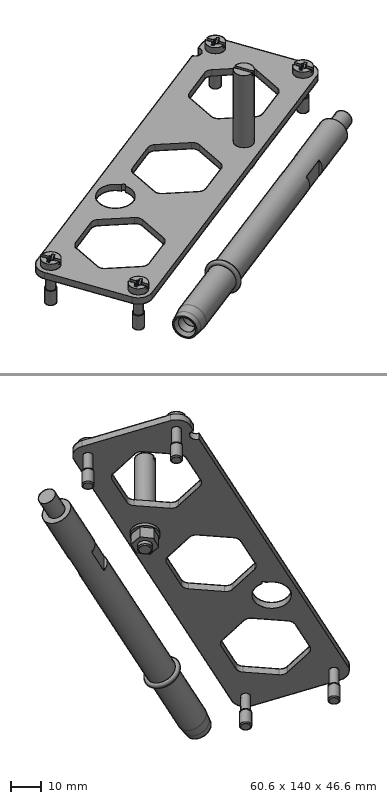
import cadquery as cq
import math

OVERALL_WIDTH = 60.6
OVERALL_HEIGHT = 46.6

HEX_HALF_ANGLE = 30.0

PLATE_LENGTH = 140.0
PLATE_WIDTH = 42.0
PLATE_THICKNESS = 2.7
CORNER_RADIUS = 5.0

HEX_ACROSS_FLATS = 26.7
HEX_PITCH = 45.0
HEX_CORNER_RADIUS = 3.0

ROUND_HOLE_DIAMETER = 13.0
ROUND_HOLE_X = -12.0
ROUND_HOLE_Y = -HEX_PITCH / 2
NICK_RADIUS = 0.7

EDGE_NOTCH_RADIUS = 2.2
EDGE_NOTCH_Y = 60.0

SCREW_X = PLATE_WIDTH / 2 - CORNER_RADIUS
SCREW_Y = PLATE_LENGTH / 2 - CORNER_RADIUS
HEAD_DIAMETER = 6.9
HEAD_HEIGHT = 2.5
NECK_DIAMETER = 3.4
THREAD_DIAMETER = 4.0
THREAD_TOP_Z = -9.8
SCREW_BOTTOM_Z = -16.1
TIP_CHAMFER = 0.4
SLOT_WIDTH = 1.1
SLOT_DEPTH = 1.3
CROSS_SPAN = 4.5
CROSS_FLOOR_SPAN = 1.4
CROSS_ARM_WIDTH = 1.0
CROSS_CORE = 2.0
CROSS_DEPTH = 2.0
CROSS_TAPER = 10.0

POST_X = 14.0
POST_Y = HEX_PITCH / 2
POST_DIAMETER = 7.0
POST_HEIGHT = 30.0
POST_SLOT_WIDTH = 1.0
WASHER_DIAMETER = 10.0
WASHER_THICKNESS = 1.1
NUT_ACROSS_FLATS = 8.0
NUT_HEIGHT = 4.5
NUT_TURN = 3.0
STUD_DIAMETER = 5.0
STUD_BOTTOM_Z = -10.1

RING_DIAMETER = 13.0
RING_OUTER_RADIUS = RING_DIAMETER / 2
RING_SECTION_RADIUS = 1.0
RING_Y = -35.3
TUBE_X = OVERALL_WIDTH - PLATE_WIDTH / 2 - RING_OUTER_RADIUS
TUBE_Z = POST_HEIGHT - OVERALL_HEIGHT + RING_OUTER_RADIUS
TUBE_RADIUS = 5.2
SPIGOT_RADIUS = 3.1
SPIGOT_END_Y = 59.8
SHOULDER_Y = 51.8
TAPER_START_Y = -59.9
TAPER_END_Y = -63.4
TAPER_END_RADIUS = 4.8
MOUTH_Y = -65.5
MOUTH_RADIUS = 4.5
COUNTERSINK_RADIUS = 3.9
COUNTERSINK_DEPTH = 1.4
BORE_RADIUS = 3.0
BORE_DEPTH = 4.9
BORE_TIP_LENGTH = 1.7
FLATS_TOP_Y = 31.8
FLATS_BOTTOM_Y = 21.8
TUBE_ACROSS_FLATS = 8.0


def cylinder(x, y, diameter, bottom_z, top_z):
    """Upright cylinder between two heights."""
    disc = cq.Workplane("XY", origin=(x, y, bottom_z)).circle(diameter / 2)
    return disc.extrude(top_z - bottom_z)


def hex_prism(x, y, across_flats, bottom_z, height, turn=0.0):
    """Upright hexagonal prism with corners toward +Y and -Y, turned about its axis."""
    across_corners = across_flats / math.cos(math.radians(HEX_HALF_ANGLE))
    hexagon = cq.Workplane("XY").polygon(6, across_corners).extrude(height)
    return hexagon.rotate((0, 0, 0), (0, 0, 1), HEX_HALF_ANGLE + turn).translate((x, y, bottom_z))


def make_plate():
    plate = cq.Workplane("XY").rect(PLATE_WIDTH, PLATE_LENGTH).extrude(-PLATE_THICKNESS)
    plate = plate.edges("|Z").fillet(CORNER_RADIUS)
    for hex_y in (-HEX_PITCH, 0.0, HEX_PITCH):
        window = hex_prism(0, hex_y, HEX_ACROSS_FLATS, -PLATE_THICKNESS, PLATE_THICKNESS)
        plate = plate.cut(window.edges("|Z").fillet(HEX_CORNER_RADIUS))
    plate = plate.cut(cylinder(ROUND_HOLE_X, ROUND_HOLE_Y, ROUND_HOLE_DIAMETER, -PLATE_THICKNESS, 0))
    nick_y = ROUND_HOLE_Y + ROUND_HOLE_DIAMETER / 2
    plate = plate.cut(cylinder(ROUND_HOLE_X, nick_y, 2 * NICK_RADIUS, -PLATE_THICKNESS, 0))
    return plate.cut(
        cylinder(-PLATE_WIDTH / 2, EDGE_NOTCH_Y, 2 * EDGE_NOTCH_RADIUS, -PLATE_THICKNESS, 0)
    )


def driver_slot(x, y, length, width, top_z):
    """Straight screwdriver slot along X, cut down from a top face."""
    slot = cq.Workplane("XY", origin=(x, y, top_z)).rect(length, width)
    return slot.extrude(-SLOT_DEPTH)


def cross_recess(x, y, top_z):
    """Cross recess: two thin arms whose ends slope inward, and a tapered square core."""
    half_top = CROSS_SPAN / 2
    half_floor = CROSS_FLOOR_SPAN / 2
    arm_profile = [
        (-half_top, 0),
        (half_top, 0),
        (half_floor, -CROSS_DEPTH),
        (-half_floor, -CROSS_DEPTH),
    ]
    arm = cq.Workplane("XZ").polyline(arm_profile).close().extrude(CROSS_ARM_WIDTH / 2, both=True)
    core = cq.Workplane("XY").rect(CROSS_CORE, CROSS_CORE).extrude(-CROSS_DEPTH, taper=CROSS_TAPER)
    recess = core.union(arm).union(arm.rotate((0, 0, 0), (0, 0, 1), 90))
    return recess.translate((x, y, top_z))


def make_screw(x, y):
    head = cylinder(x, y, HEAD_DIAMETER, 0, HEAD_HEIGHT)
    head = head.cut(driver_slot(x, y, HEAD_DIAMETER, SLOT_WIDTH, HEAD_HEIGHT))
    head = head.cut(cross_recess(x, y, HEAD_HEIGHT))
    neck = cylinder(x, y, NECK_DIAMETER, THREAD_TOP_Z, 0)
    thread = cylinder(x, y, THREAD_DIAMETER, SCREW_BOTTOM_Z, THREAD_TOP_Z)
    thread = thread.faces("<Z").chamfer(TIP_CHAMFER)
    return head.union(neck).union(thread)


def make_post():
    post = cylinder(POST_X, POST_Y, POST_DIAMETER, 0, POST_HEIGHT)
    post = post.cut(driver_slot(POST_X, POST_Y, POST_DIAMETER, POST_SLOT_WIDTH, POST_HEIGHT))
    washer_bottom_z = -PLATE_THICKNESS - WASHER_THICKNESS
    washer = cylinder(POST_X, POST_Y, WASHER_DIAMETER, washer_bottom_z, -PLATE_THICKNESS)
    nut_bottom_z = washer_bottom_z - NUT_HEIGHT
    nut = hex_prism(POST_X, POST_Y, NUT_ACROSS_FLATS, nut_bottom_z, NUT_HEIGHT, NUT_TURN)
    stud = cylinder(POST_X, POST_Y, STUD_DIAMETER, STUD_BOTTOM_Z, 0)
    stud = stud.faces("<Z").chamfer(TIP_CHAMFER)
    return post.union(stud).union(washer).union(nut)


def make_plate_assembly():
    """Plate, four screws and the post as one solid."""
    assembly = make_plate().union(make_post())
    for x in (-SCREW_X, SCREW_X):
        for y in (-SCREW_Y, SCREW_Y):
            assembly = assembly.union(make_screw(x, y))
    return assembly


def make_tube():
    axis_plane = cq.Workplane("XY", origin=(TUBE_X, 0, TUBE_Z))
    bore_end_y = MOUTH_Y + BORE_DEPTH
    half_section = [
        (0, SPIGOT_END_Y),
        (SPIGOT_RADIUS, SPIGOT_END_Y),
        (SPIGOT_RADIUS, SHOULDER_Y),
        (TUBE_RADIUS, SHOULDER_Y),
        (TUBE_RADIUS, TAPER_START_Y),
        (TAPER_END_RADIUS, TAPER_END_Y),
        (MOUTH_RADIUS, MOUTH_Y),
        (COUNTERSINK_RADIUS, MOUTH_Y),
        (BORE_RADIUS, MOUTH_Y + COUNTERSINK_DEPTH),
        (BORE_RADIUS, bore_end_y),
        (0, bore_end_y + BORE_TIP_LENGTH),
    ]
    tube = axis_plane.polyline(half_section).close().revolve(360, (0, 0, 0), (0, 1, 0))

    ring_section = axis_plane.center(RING_OUTER_RADIUS - RING_SECTION_RADIUS, RING_Y)
    ring_axis_x = RING_SECTION_RADIUS - RING_OUTER_RADIUS
    ring = ring_section.circle(RING_SECTION_RADIUS).revolve(360, (ring_axis_x, 0, 0), (ring_axis_x, 1, 0))
    tube = tube.union(ring)

    flat_depth = TUBE_RADIUS - TUBE_ACROSS_FLATS / 2
    flats_length = FLATS_TOP_Y - FLATS_BOTTOM_Y
    for side in (-1, 1):
        flat_x = TUBE_X + side * (TUBE_ACROSS_FLATS + flat_depth) / 2
        flat_y = (FLATS_TOP_Y + FLATS_BOTTOM_Y) / 2
        block = cq.Workplane("XY").box(flat_depth, flats_length, 2 * TUBE_RADIUS)
        tube = tube.cut(block.translate((flat_x, flat_y, TUBE_Z)))
    return tube


plate_assembly = make_plate_assembly()
tube = make_tube()

result = cq.Compound.makeCompound([plate_assembly.val(), tube.val()])